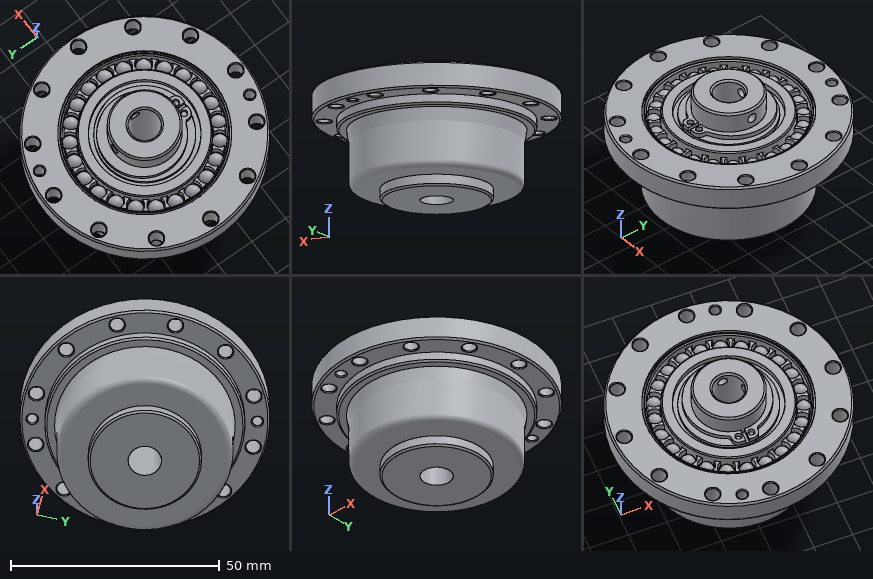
import cadquery as cq
import math

chamfer = 0.5

total_height = 32.5
boss_top = 2.75
cone_bottom = 14.0
step_bottom = 17.4
flange_bottom = 19.9
flange_top = 26.5

boss_radius = 27.2 / 2
body_radius = 42.25 / 2
cone_top_radius = 21.65
step_radius = 24.0
flange_radius = 30.0
body_fillet = 1.5

hub_radius = 9.0
bore_radius = 8.0 / 2
screw_hole_diameter = 2.45

bolt_circle_radius = 27.0
screw_count = 12
screw_diameter = 3.5
screw_rim_diameter = 3.95
dowel_diameter = 2.45
dowel_rim_diameter = 3.0
dowel_angles = (75, 255)

opening_radius = 41.7 / 2
outer_race_top = 26.2
outer_race_bore_chamfer = 0.35
outer_race_bore_radius = 39.65 / 2
inner_race_radius = 32.45 / 2
inner_race_chamfer = 0.3
ball_count = 23
ball_diameter = 3.85
ball_center_z = 23.1
cage_inner_radius = 16.5
cage_outer_radius = 19.4
cage_top = 25.15
pocket_diameter = 4.3

recess_radius = 27.0 / 2
recess_depth = 1.5
disc_radius = 24.5 / 2
disc_top = 25.85
ring_thickness = 1.2
ring_radius = 10.9
ring_offset = 0.8
ring_slot_width = 0.95
lug_radius = 1.75
lug_fillet = 0.9
lug_hole_diameter = 1.7
lug_hole_x = 1.7
lug_hole_y = -10.45

ring_top = disc_top + ring_thickness
recess_floor = flange_top - recess_depth
ball_circle_radius = (inner_race_radius + outer_race_bore_radius) / 2
ball_pitch_angle = 360 / ball_count
screw_hole_z = (ring_top + total_height) / 2


def cylinder(radius, bottom, top):
    return cq.Workplane("XY").workplane(offset=bottom).circle(radius).extrude(top - bottom)


def tube(outer_radius, inner_radius, bottom, top):
    return cylinder(outer_radius, bottom, top).cut(cylinder(inner_radius, bottom, top))


def cone(bottom_radius, top_radius, bottom, top):
    height = top - bottom
    solid = cq.Solid.makeCone(bottom_radius, top_radius, height, cq.Vector(0, 0, bottom))
    return cq.Workplane(obj=solid)


def polar(radius, angle):
    turn = math.radians(angle)
    return radius * math.cos(turn), radius * math.sin(turn)


def turned_body():
    boss = cylinder(boss_radius, 0, boss_top).faces("<Z").chamfer(chamfer)
    body = cylinder(body_radius, boss_top, cone_bottom).faces("<Z").edges().fillet(body_fillet)
    flare = cone(body_radius, cone_top_radius, cone_bottom, step_bottom)
    step = cylinder(step_radius, step_bottom, flange_bottom).faces("<Z").chamfer(chamfer)
    flange = cylinder(flange_radius, flange_bottom, flange_top).edges().chamfer(chamfer)
    return boss.union(body).union(flare).union(step).union(flange)


def chamfered_hole(x, y, diameter, rim_diameter):
    rim_width = (rim_diameter - diameter) / 2
    hole = cylinder(diameter / 2, flange_bottom, flange_top)
    top_rim = cone(diameter / 2, rim_diameter / 2, flange_top - rim_width, flange_top)
    bottom_rim = cone(rim_diameter / 2, diameter / 2, flange_bottom, flange_bottom + rim_width)
    return hole.union(top_rim).union(bottom_rim).translate((x, y, 0))


def cut_flange_holes(part):
    for index in range(screw_count):
        x, y = polar(bolt_circle_radius, index * 360 / screw_count)
        part = part.cut(chamfered_hole(x, y, screw_diameter, screw_rim_diameter))
    for angle in dowel_angles:
        x, y = polar(bolt_circle_radius, angle)
        part = part.cut(chamfered_hole(x, y, dowel_diameter, dowel_rim_diameter))
    return part


def cut_bearing_space(part):
    """Open the flange down to the ball centres and set both bearing races in the opening."""
    opening = cylinder(opening_radius, ball_center_z, flange_top)
    inner_race = cylinder(inner_race_radius, ball_center_z, flange_top)
    inner_race = inner_race.faces(">Z").chamfer(inner_race_chamfer)
    outer_race = cylinder(opening_radius, ball_center_z, outer_race_top).faces(">Z").chamfer(chamfer)
    outer_race = outer_race.cut(cylinder(outer_race_bore_radius, ball_center_z, outer_race_top))
    outer_race = outer_race.cut(cone(
        outer_race_bore_radius,
        outer_race_bore_radius + outer_race_bore_chamfer,
        outer_race_top - outer_race_bore_chamfer,
        outer_race_top,
    ))
    return part.cut(opening.cut(inner_race).cut(outer_race))


def add_cage_and_balls(part):
    cage = tube(cage_outer_radius, cage_inner_radius, ball_center_z, cage_top)
    ball_places = [polar(ball_circle_radius, 90 + index * ball_pitch_angle) for index in range(ball_count)]
    for x, y in ball_places:
        pocket = cylinder(pocket_diameter / 2, ball_center_z, cage_top)
        cage = cage.cut(pocket.translate((x, y, 0)))
    part = part.union(cage)
    for x, y in ball_places:
        part = part.union(cq.Workplane("XY").sphere(ball_diameter / 2).translate((x, y, ball_center_z)))
    return part


def retaining_ring():
    """Eccentric ring whose two rounded lugs are split by a slot."""
    ring = cylinder(ring_radius, disc_top, ring_top).translate((0, ring_offset, 0))
    lug_pair = cq.Workplane("XY").workplane(offset=disc_top).center(0, lug_hole_y)
    lug_pair = lug_pair.slot2D(2 * (lug_hole_x + lug_radius), 2 * lug_radius).extrude(ring_thickness)
    ring = ring.union(lug_pair)
    lug_corners = cq.selectors.BoxSelector(
        (-lug_hole_x - lug_radius, lug_hole_y, disc_top),
        (lug_hole_x + lug_radius, lug_hole_y + lug_radius, ring_top),
    )
    ring = ring.edges("|Z").edges(lug_corners).fillet(lug_fillet)

    slot = cq.Workplane("XY").box(ring_slot_width, disc_radius, ring_thickness, centered=(True, False, False))
    ring = ring.cut(slot.translate((0, -disc_radius, disc_top)))
    for side in (-1, 1):
        hole = cylinder(lug_hole_diameter / 2, disc_top, ring_top)
        ring = ring.cut(hole.translate((side * lug_hole_x, lug_hole_y, 0)))
    return ring


def add_retaining_ring(part):
    """Hollow the inner race around the disc and lay the ring on the disc."""
    part = part.cut(tube(recess_radius, disc_radius, recess_floor, flange_top))
    part = part.cut(cylinder(disc_radius, disc_top, flange_top))
    return part.union(retaining_ring())


def add_hub(part):
    hub = cylinder(hub_radius, disc_top, total_height).faces(">Z").chamfer(chamfer)
    bore_rim = cone(bore_radius, bore_radius + chamfer, total_height - chamfer, total_height)
    part = part.union(hub).cut(cylinder(bore_radius, 0, total_height)).cut(bore_rim)
    for direction in (cq.Vector(1, 0, 0), cq.Vector(0, 1, 0)):
        start = cq.Vector(0, 0, screw_hole_z)
        part = part.cut(cq.Workplane(obj=cq.Solid.makeCylinder(
            screw_hole_diameter / 2, hub_radius, start, direction)))
    return part


result = turned_body()
result = cut_flange_holes(result)
result = cut_bearing_space(result)
result = add_cage_and_balls(result)
result = add_retaining_ring(result)
result = add_hub(result)